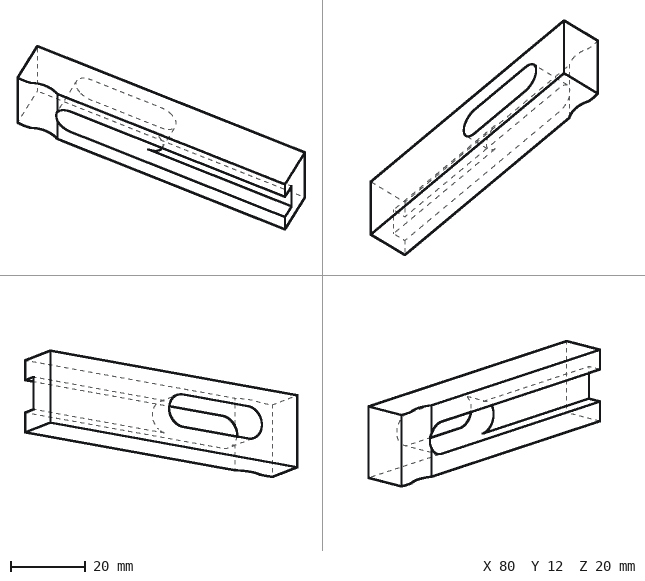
import cadquery as cq

length = 80.0
thickness = 12.0
height = 20.0

nose_width = 4.0
nose_drop = 0.2
hollow_end = 12.0
hollow_depth = 1.0

slot_start = 11.5
slot_end = 41.5
slot_width = 9.0

channel_depth = 4.0


def make_bar():
    """Profile in XY with the nose and hollow, extruded along Z."""
    hollow_middle = (nose_width + hollow_end) / 2
    return (
        cq.Workplane("XY")
        .moveTo(0, nose_drop)
        .threePointArc((nose_width / 2, 0), (nose_width, nose_drop))
        .threePointArc((hollow_middle, hollow_depth), (hollow_end, 0))
        .lineTo(length, 0)
        .lineTo(length, thickness)
        .lineTo(0, thickness)
        .close()
        .extrude(height)
    )


def make_slot():
    """Round-ended cutter through the full thickness."""
    return (
        cq.Workplane("XZ")
        .center((slot_start + slot_end) / 2, height / 2)
        .slot2D(slot_end - slot_start, slot_width)
        .extrude(-thickness)
    )


def make_channel():
    """Flat-bottomed cutter as wide as the slot, open at the +X end."""
    channel_start = (slot_start + slot_end) / 2
    return cq.Workplane("XY").box(
        length - channel_start, channel_depth, slot_width, centered=False
    ).translate((channel_start, 0, (height - slot_width) / 2))


result = make_bar().cut(make_slot()).cut(make_channel())